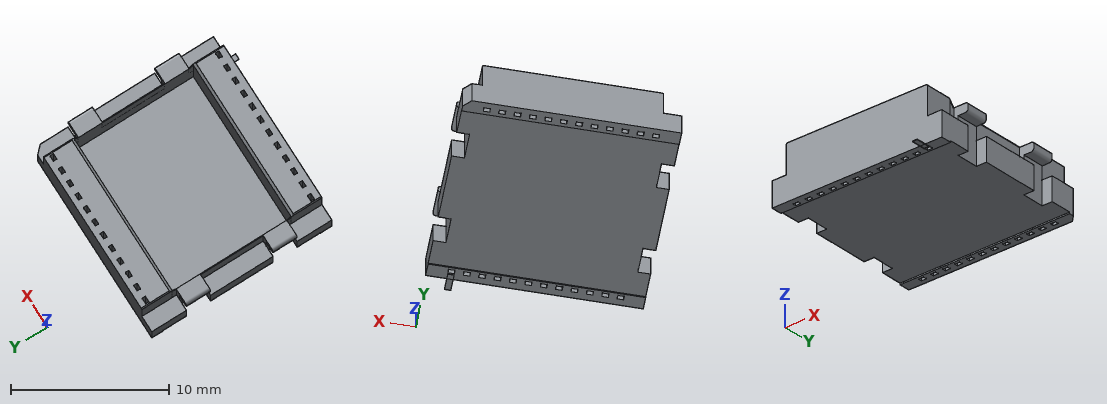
import cadquery as cq

width = 13.97
length = 13.46
height = 4.3

tub_width = 11.64
tub_bevel = 0.09
side_wall = 0.05
end_bank_flat = 2.1
end_wall = 2.28
rim_drop = 0.58
floor_top = 0.37

ledge_height = 2.0
gap_start = 2.6
gap_length = 1.8
latch_stem = 0.34
latch_head = 0.7
head_top_radius = 0.2
head_bottom_radius = 0.23
index_chamfer = 0.5

foot_length = 0.87
foot_height = 0.11

slot_count = 12
slot_span = 10.87
slot_width = 0.41
slot_length = 0.25
front_slot_offset = 0.58
back_slot_offset = 0.51

tail_thickness = 0.04
tail_overlap = 0.37
tail_reach = 0.8

half_width = width / 2
half_length = length / 2
half_tub = tub_width / 2
rim_height = height - rim_drop
gap_center = half_length - gap_start - gap_length / 2
slot_pitch = slot_span / (slot_count - 1)


def block(x0, x1, y0, y1, z0, z1):
    """Axis-aligned box between two corners."""
    return cq.Workplane("XY").box(x1 - x0, y1 - y0, z1 - z0, centered=False).translate((x0, y0, z0))


def make_tub():
    """Solid tub: bevelled cross-section trimmed by the dipped side outline."""
    cross_section = (
        cq.Workplane("XZ")
        .moveTo(-half_tub, 0)
        .lineTo(half_tub, 0)
        .lineTo(half_tub, height - tub_bevel)
        .lineTo(half_tub - tub_bevel, height)
        .lineTo(-half_tub + tub_bevel, height)
        .lineTo(-half_tub, height - tub_bevel)
        .close()
        .extrude(half_length, both=True)
    )
    bank_y = half_length - end_bank_flat
    rim_y = half_length - gap_start
    side_outline = (
        cq.Workplane("YZ")
        .moveTo(-half_length, 0)
        .lineTo(half_length, 0)
        .lineTo(half_length, height)
        .lineTo(bank_y, height)
        .lineTo(rim_y, rim_height)
        .lineTo(-rim_y, rim_height)
        .lineTo(-bank_y, height)
        .lineTo(-half_length, height)
        .close()
        .extrude(half_width, both=True)
    )
    return cross_section.intersect(side_outline)


def make_ledges():
    """Low side ledges with the corner index chamfer and the latch gaps cut out."""
    ledges = block(-half_width, half_width, -half_length, half_length, 0, ledge_height)
    ledges = ledges.edges("|Z and >X and >Y").chamfer(index_chamfer)
    for y in (-gap_center, gap_center):
        gap = block(-half_width, half_width, y - gap_length / 2, y + gap_length / 2, 0, ledge_height)
        ledges = ledges.cut(gap)
    return ledges


def make_latch():
    """Hooked latch on the +X side, centred on Y = 0 and rooted in the tub wall."""
    root_x = half_tub - side_wall
    stem_x = half_tub + latch_stem
    head_bottom = rim_height - latch_head
    return (
        cq.Workplane("XZ")
        .moveTo(root_x, 0)
        .lineTo(stem_x, 0)
        .lineTo(stem_x, head_bottom)
        .lineTo(half_width - head_bottom_radius, head_bottom)
        .radiusArc((half_width, head_bottom + head_bottom_radius), -head_bottom_radius)
        .lineTo(half_width, rim_height - head_top_radius)
        .radiusArc((half_width - head_top_radius, rim_height), -head_top_radius)
        .lineTo(root_x, rim_height)
        .close()
        .extrude(gap_length / 2, both=True)
    )


def make_slots(y):
    """Row of through slots centred on the given Y."""
    return (
        cq.Workplane("XY")
        .center(0, y)
        .rarray(slot_pitch, 0.14, slot_count, 1)
        .rect(slot_width, slot_length)
        .extrude(height)
    )


body = make_tub().union(make_ledges())

latch = make_latch()
for y in (-gap_center, gap_center):
    placed = latch.translate((0, y, 0))
    body = body.union(placed).union(placed.mirror("YZ"))

cavity_x = half_tub - side_wall
cavity_y = half_length - end_wall
body = body.cut(block(-cavity_x, cavity_x, -cavity_y, cavity_y, floor_top, height))

relief_y = half_length - foot_length
body = body.cut(block(-half_width, half_width, -relief_y, relief_y, 0, foot_height))

body = body.cut(make_slots(-half_length + front_slot_offset))
body = body.cut(make_slots(half_length - back_slot_offset))

tail_x = slot_span / 2
tail = block(
    tail_x - slot_width / 2,
    tail_x + slot_width / 2,
    -half_length - tail_reach,
    -half_length + tail_overlap,
    -tail_thickness,
    0,
)
result = body.union(tail)